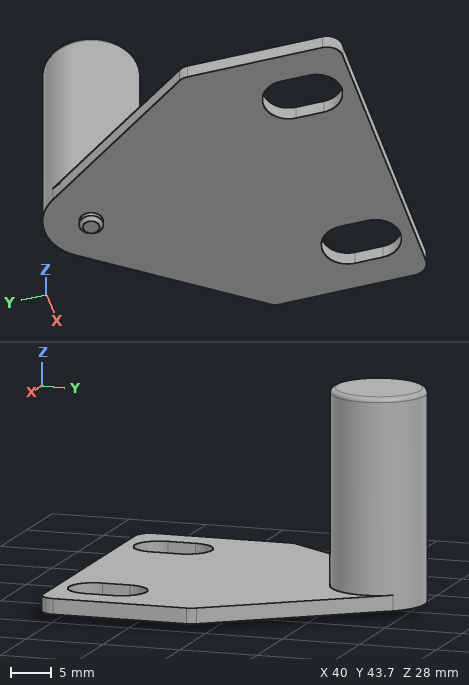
import cadquery as cq
import math

plate_width = 40.0
plate_thickness = 2.0
shoulder_y = 20.0
corner_radius = 2.0

overall_depth = 43.7
post_diameter = 12.0
post_height = 27.0
post_edge_radius = 0.6

stub_diameter = 3.0
stub_height = 1.0
stub_chamfer = 0.5

slot_width = 6.4
slot_length = 10.0
slot_spacing = 25.5
slot_center_y = 6.73

half_width = plate_width / 2
post_radius = post_diameter / 2
post_y = overall_depth - post_radius


def make_plate():
    """Five-sided plate whose sloping sides run tangent to the post."""
    rise = post_y - shoulder_y
    shoulder_to_post = math.hypot(half_width, rise)
    normal_angle = math.atan2(-rise, half_width) + math.acos(post_radius / shoulder_to_post)
    tangent_x = post_radius * math.cos(normal_angle)
    tangent_y = post_y + post_radius * math.sin(normal_angle)
    plate = (
        cq.Workplane("XY")
        .moveTo(-half_width, 0)
        .lineTo(half_width, 0)
        .lineTo(half_width, shoulder_y)
        .lineTo(tangent_x, tangent_y)
        .threePointArc((0, overall_depth), (-tangent_x, tangent_y))
        .lineTo(-half_width, shoulder_y)
        .close()
        .extrude(plate_thickness)
    )
    rounded_corners = cq.selectors.BoxSelector(
        (-plate_width, -plate_thickness, -plate_thickness), (plate_width, post_y - post_radius, overall_depth)
    )
    return plate.edges("|Z").edges(rounded_corners).fillet(corner_radius)


def make_post():
    post = cq.Workplane("XY").center(0, post_y).circle(post_radius).extrude(post_height)
    return post.faces(">Z").edges().fillet(post_edge_radius)


def make_stub():
    stub = cq.Workplane("XY").center(0, post_y).circle(stub_diameter / 2).extrude(-stub_height)
    return stub.faces("<Z").edges().chamfer(stub_chamfer)


def make_slots():
    return (
        cq.Workplane("XY")
        .pushPoints([(side * slot_spacing / 2, slot_center_y) for side in (-1, 1)])
        .slot2D(slot_length, slot_width, 90)
        .extrude(plate_thickness)
    )


result = make_plate().cut(make_slots()).union(make_post()).union(make_stub())